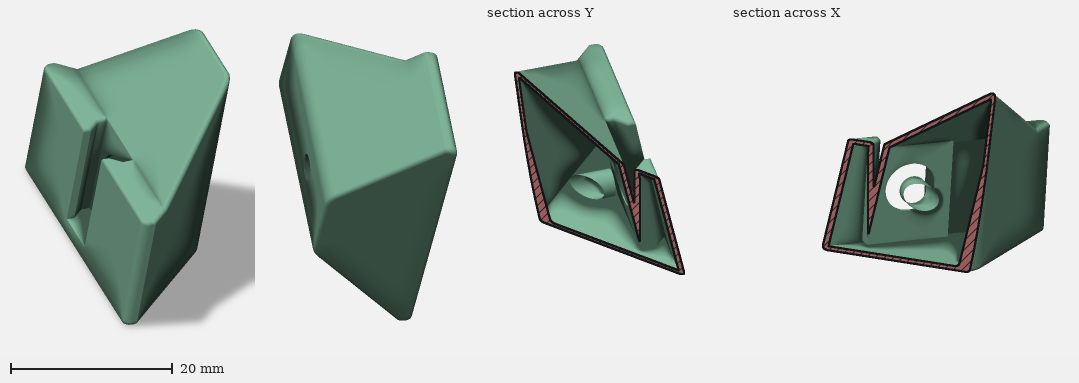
import cadquery as cq
import math

LEAN_ANGLE = 10
LEAN = math.tan(math.radians(LEAN_ANGLE))
MITER = math.tan(math.radians(45 / 2))
SLOPE_ANGLE = 40
RISE = math.tan(math.radians(SLOPE_ANGLE))

half_length = 18.55
end_depth = 1.68
body_depth = 14.5
ledge_height = 14.95
ledge_depth = 3.5
crease_y = ledge_depth + LEAN * ledge_height
blank_height = 29.92
margin = 0.3
selection_gap = 0.03

slot_width = 6.5
slot_half_width = slot_width / 2
slot_mouth_depth = 1.0
slot_wide_half_width = 4.65
slot_floor = 2.1

wall = 0.6
rear_wall = 1.2
cavity_fillet = 0.5

front_corner_radius = 1.0
rear_corner_radius = 3.0
bottom_radius = 0.5
upper_radius = 0.45

hole_height = 8.8
opening_diameter = slot_width
bore_diameter = 3.4
tube_diameter = 3.5
tube_setback = 1.55


def upright_prism(points):
    """Long upright prism; depths are shortened so that they become horizontal depths once it leans."""
    plan = [(x, y * math.cos(math.radians(LEAN_ANGLE))) for x, y in points]
    return cq.Workplane("XY").polyline(plan).close().extrude(blank_height, both=True)


def leaned(prism, bottom):
    """Tip an upright prism backward and cut it level at the bottom height."""
    side = 2 * blank_height
    space_above = cq.Workplane("XY", origin=(0, 0, bottom)).rect(2 * side, 2 * side).extrude(side)
    return prism.rotate((0, 0, 0), (1, 0, 0), -LEAN_ANGLE).intersect(space_above)


def mirrored(right_side):
    """Closed symmetrical outline from the points of its right side, front to rear."""
    return right_side + [(-x, y) for x, y in reversed(right_side)]


def body_plan(front, rear, half_width, side_start):
    """Square ends followed by sides closing in at 45 degrees."""
    return mirrored([
        (half_width, front),
        (half_width, side_start),
        (half_width - (rear - side_start), rear),
    ])


def below_roof(lowering):
    """Space under the flat ledge and the sloped upper face, lowered square to each."""
    slope_drop = lowering * math.hypot(1, RISE)
    flat_z = ledge_height - lowering
    bend_y = crease_y + (slope_drop - lowering) / RISE
    far_y = 2 * blank_height
    far_z = flat_z + RISE * (far_y - bend_y)
    profile = [
        (-blank_height, -margin),
        (far_y, -margin),
        (far_y, far_z),
        (bend_y, flat_z),
        (-blank_height, flat_z),
    ]
    return cq.Workplane("YZ").polyline(profile).close().extrude(half_length + margin, both=True)


def slot(bottom, grow):
    """Slot open to the front, widening at 45 degrees; its walls are moved out by grow."""
    corner_shift = grow * MITER
    widening = slot_wide_half_width - slot_half_width
    plan = mirrored([
        (slot_half_width + grow, -margin),
        (slot_half_width + grow, slot_mouth_depth - corner_shift),
        (slot_wide_half_width + grow, slot_mouth_depth + widening - corner_shift),
        (slot_wide_half_width + grow, ledge_depth + grow),
    ])
    return leaned(upright_prism(plan), bottom)


def rod(diameter, start, end):
    """Horizontal rod along the depth at the height of the screw hole."""
    return (
        cq.Workplane("XZ", origin=(0, start, hole_height))
        .circle(diameter / 2)
        .extrude(start - end)
    )


def rounded_body():
    blank = upright_prism(body_plan(0, body_depth, half_length, end_depth))
    blank = blank.edges("|Z and <Y").fillet(front_corner_radius)
    blank = blank.edges("|Z and >Y").fillet(rear_corner_radius)
    return leaned(blank, 0).intersect(below_roof(0))


def cavity():
    """Interior that follows the outside, the slot and the roof."""
    side_start = end_depth - wall * MITER
    plan = body_plan(wall, body_depth - rear_wall, half_length - wall, side_start)
    hollow = leaned(upright_prism(plan), wall).intersect(below_roof(wall))
    hollow = hollow.cut(slot(slot_floor - wall, wall))
    return hollow.faces("<Z").edges(">Y").fillet(cavity_fillet)


def round_upper_rims(body):
    """Round every edge at or above the ledge except the crease between ledge and slope."""
    reach = 2 * blank_height
    upper = cq.selectors.BoxSelector(
        (-reach, -reach, ledge_height - selection_gap), (reach, reach, reach)
    )
    crease = cq.selectors.BoxSelector(
        (-reach, crease_y - selection_gap, ledge_height - selection_gap),
        (reach, crease_y + selection_gap, ledge_height + selection_gap),
    )
    return body.edges(upper - crease).fillet(upper_radius)


def add_screw_tube(body):
    """Opening in the slot back, and behind it a thin tube bored out through the rear."""
    tube_start = ledge_depth + LEAN * hole_height + tube_setback
    tube_end = body_depth + LEAN * hole_height - rear_wall / 2
    body = body.cut(rod(opening_diameter, 0, tube_start))
    body = body.union(rod(tube_diameter, tube_start, tube_end))
    return body.cut(rod(bore_diameter, tube_start - margin, 2 * blank_height))


outside = rounded_body().cut(slot(slot_floor, 0))
outside = outside.faces("<Z").edges().fillet(bottom_radius)
outside = round_upper_rims(outside)
hollow_part = add_screw_tube(outside.cut(cavity()))
result = hollow_part.rotate((0, 0, 0), (0, 0, 1), -45)